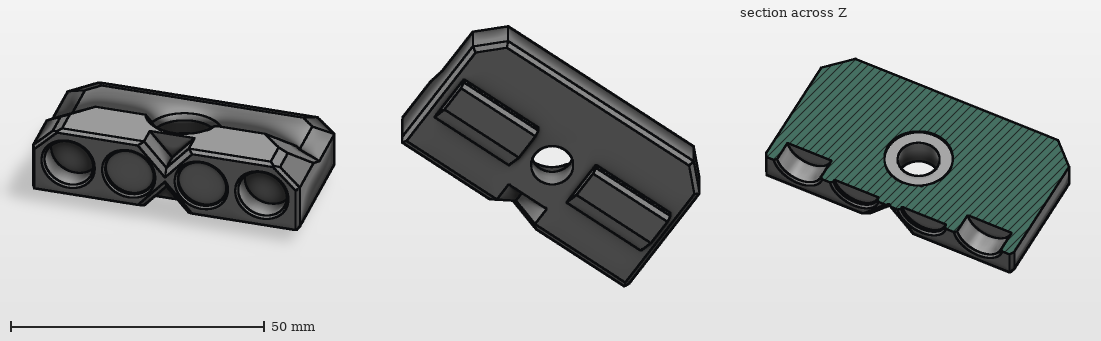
import cadquery as cq
import math

length = 55.0
depth = 30.0
height = 15.0
half_length = length / 2
mid_height = height / 2
ledge_height = 10.0

corner_cut = 5.0
ledge_bevel_width = 4.05
ledge_bevel_drop = 2.05
base_bevel_width = 1.0
base_bevel_rise = 0.9

block_top_depth = 10.5
block_foot_depth = block_top_depth + height - ledge_height
block_side_bevel = 4.05
block_edge_width = 1.9
corner_facet_top = 10.05

front_bevel_depth = 1.0
front_bevel_inset = 0.55
notch_half_width = 4.6
notch_height = 5.35
notch_depth = 5.0
notch_bevel = 1.1

front_hole_end_distances = (7.55, 20.0)
front_hole_diameter = 10.0
front_hole_rim = 11.0
front_hole_bevel = 0.5
outer_hole_depth = 5.0
inner_hole_depth = 1.0

screw_y = 13.35
screw_diameter = 8.3
screw_seat_diameter = 13.5
screw_rim_diameter = 15.5
screw_bevel = (screw_rim_diameter - screw_seat_diameter) / 2
screw_seat_height = 6.0

foot_height = 2.5
foot_length = 18.05
foot_end_gap = 2.5
foot_front = 8.4
foot_front_slope = 3.4
foot_back = 18.5
foot_back_bevel = 1.0

reach = 33.0


def plan_outline(inset):
    """Plan of the body with its sides and back, but not its front, moved inwards."""
    side = half_length - inset
    back = depth - inset
    leg = corner_cut - inset * (2 - math.sqrt(2))
    return [(-side, 0), (side, 0), (side, back - leg), (side - leg, back),
            (leg - side, back), (-side, back - leg)]


def plan_loft(z_low, inset_low, z_high, inset_high):
    """Bevelled layer of the body between two heights."""
    lower = cq.Workplane("XY").workplane(offset=z_low).polyline(plan_outline(inset_low)).close()
    upper = lower.workplane(offset=z_high - z_low).polyline(plan_outline(inset_high)).close()
    return upper.loft(ruled=True, combine=True)


def prism_along_y(points, y_length, taper=0.0):
    """Extrude an X-Z outline backwards from the front face."""
    plane = cq.Plane(origin=(0, 0, 0), xDir=(-1, 0, 0), normal=(0, 1, 0))
    mirrored = [(-x, z) for x, z in points]
    return cq.Workplane(plane).polyline(mirrored).close().extrude(y_length, taper=taper)


def prism_along_x(points, x_start, x_length):
    """Extrude a Y-Z outline along X."""
    return cq.Workplane("YZ").workplane(offset=x_start).polyline(points).close().extrude(x_length)


def make_base():
    """Full-plan lower body, bevelled at the bottom and around the ledge."""
    shoulder = ledge_height - ledge_bevel_drop
    bottom = plan_loft(0, base_bevel_width, base_bevel_rise, 0)
    middle = plan_loft(base_bevel_rise, 0, shoulder, 0)
    top = plan_loft(shoulder, 0, ledge_height, ledge_bevel_width)
    return bottom.union(middle).union(top)


def make_corner_facet_cutter():
    """Half-space block beyond the facet on the left rear corner of the raised block."""
    x_edge = corner_facet_top - half_length
    y_edge = block_top_depth
    apex = cq.Vector(x_edge, y_edge, height)
    along = cq.Vector(1, 1, 0)
    uphill = cq.Vector(1, -1, 1)
    plane = cq.Plane(origin=apex.toTuple(), xDir=along.toTuple(), normal=along.cross(uphill).toTuple())
    return cq.Workplane(plane).rect(2 * reach, 2 * reach).extrude(-reach)


def make_raised_block():
    """Raised front block with bevelled ends, a sloping back and two corner facets."""
    bevel_top = ledge_height + block_side_bevel
    top_side = half_length - block_side_bevel - block_edge_width
    side_points = [(half_length, base_bevel_rise), (half_length, ledge_height),
                   (half_length - block_side_bevel, bevel_top), (top_side, height)]
    opposite = [(-x, z) for x, z in reversed(side_points)]
    ends = prism_along_y(side_points + opposite, block_foot_depth + corner_cut)
    slope = prism_along_x([(0, base_bevel_rise), (block_foot_depth, base_bevel_rise),
                           (block_foot_depth, ledge_height), (block_top_depth, height), (0, height)],
                          -half_length, length)
    facet_cutter = make_corner_facet_cutter()
    return ends.intersect(slope).cut(facet_cutter).cut(facet_cutter.mirror("YZ"))


def make_front_envelope():
    """Prism that widens backwards from the front face and bevels all its edges."""
    inset = front_bevel_inset
    side = half_length - inset
    shoulder = ledge_height - inset * (math.sqrt(2) - 1)
    top = height - inset
    right = [(side, inset), (side, shoulder), (side - (top - shoulder), top)]
    left = [(-x, z) for x, z in reversed(right)]
    taper = math.degrees(math.atan2(front_bevel_inset, front_bevel_depth))
    return prism_along_y(right + left, depth, -taper)


def make_notch_cutter():
    """V notch in the top of the front face with a wider bevelled mouth."""
    slope = notch_height / notch_half_width
    apex = height - notch_height

    def vee(tip_z):
        rim_z = height + reach
        half = (rim_z - tip_z) / slope
        return [(0, tip_z), (half, rim_z), (-half, rim_z)]

    mouth_tip = apex - notch_bevel * math.hypot(1, slope)
    taper = math.degrees(math.atan2(notch_bevel, front_bevel_depth))
    mouth = prism_along_y(vee(mouth_tip), front_bevel_depth, taper)
    return prism_along_y(vee(apex), notch_depth).union(mouth)


def make_front_hole(x, hole_depth):
    """Blind hole in the front face with a bevelled rim."""
    radius = front_hole_diameter / 2
    rim = front_hole_rim / 2
    profile = [(0, 0), (rim, 0), (radius, front_hole_bevel), (radius, hole_depth), (0, hole_depth)]
    hole = cq.Workplane("XY").polyline(profile).close().revolve(360, (0, 0), (0, 1))
    return hole.translate((x, 0, mid_height))


def make_screw_hole():
    """Through hole with a flat screw seat."""
    hole_bottom = cq.Workplane("XY").workplane(offset=-foot_height).center(0, screw_y)
    hole = hole_bottom.circle(screw_diameter / 2).extrude(height + foot_height)
    seat_floor = cq.Workplane("XY").workplane(offset=screw_seat_height).center(0, screw_y)
    return hole.union(seat_floor.circle(screw_seat_diameter / 2).extrude(height - screw_seat_height))


def bevel_screw_seat(solid):
    """Bevel the seat's rim along the ledge, the slope and the raised block."""
    rim_box_half = screw_rim_diameter / 2
    rim_edges = cq.selectors.BoxSelector(
        (-rim_box_half, screw_y - rim_box_half, ledge_height - screw_bevel),
        (rim_box_half, screw_y + rim_box_half, height + screw_bevel))
    return solid.edges(rim_edges).edges("not %LINE").chamfer(screw_bevel)


def make_foot():
    """Left foot, sloped at the front and bevelled at the back."""
    points = [(foot_front, 0), (foot_front + foot_front_slope, -foot_height),
              (foot_back - foot_back_bevel, -foot_height),
              (foot_back, foot_back_bevel - foot_height), (foot_back, 0)]
    return prism_along_x(points, foot_end_gap - half_length, foot_length)


body = make_base().union(make_raised_block()).intersect(make_front_envelope())

top_notch = make_notch_cutter()
bottom_notch = top_notch.mirror("XY", (0, 0, mid_height))
body = body.cut(top_notch).cut(bottom_notch)

outer_offset, inner_offset = (half_length - distance for distance in front_hole_end_distances)
for side in (-1, 1):
    body = body.cut(make_front_hole(side * outer_offset, outer_hole_depth))
    body = body.cut(make_front_hole(side * inner_offset, inner_hole_depth))

body = bevel_screw_seat(body.cut(make_screw_hole()))

foot = make_foot()
result = body.union(foot).union(foot.mirror("YZ"))